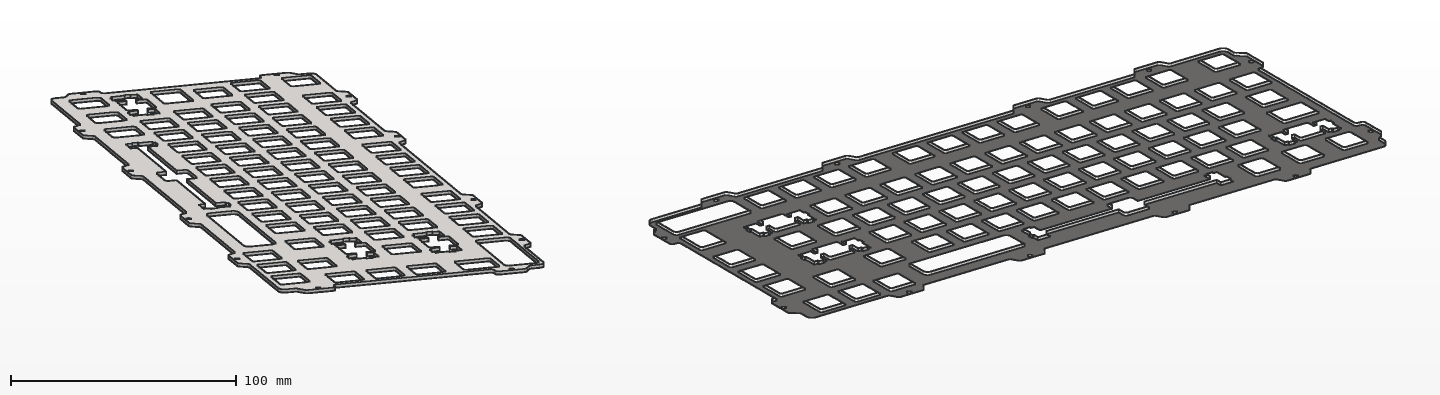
import cadquery as cq


OVERALL_LENGTH = 323.5
OVERALL_WIDTH = 133.0
THICKNESS = 1.6
BODY_LENGTH = 315.0
BODY_WIDTH = 124.2
BODY_CORNER_RADIUS = 3.0

COLUMN_SPAN = 295.2
COLUMN_SPAN_KEYS = 15.5
PITCH = COLUMN_SPAN / COLUMN_SPAN_KEYS
FIRST_COLUMN_X = -COLUMN_SPAN / 2

NUMBER_ROW = 1.25
TAB_ROW = 2.25
HOME_ROW = 3.25
SHIFT_ROW = 4.25
UP_ARROW_ROW = 4.5
SPACE_ROW = 5.25
ARROW_ROW = 5.5
FUNCTION_ROW_Y = ARROW_ROW * PITCH / 2

KEY_SIZE = 14.0
SPACE_KEY_HEIGHT = 15.0
TALL_KEY_HEIGHT = 16.8
TALL_KEY_ROW = 1.0
CAPS_LOCK_WIDTH = 19.5
CAPS_LOCK_COLUMN = 0.375
KEY_CORNER_RADIUS = 1.0
SPACE_KEY_CORNER_RADIUS = 1.5
SPACE_ROW_COLUMNS = (0.125, 1.375, 2.625)
SPACE_BAR_COLUMN = 6.375
LAST_COLUMN = COLUMN_SPAN_KEYS

DISPLAY_LENGTH = 42.0
DISPLAY_X = 133.5
DISPLAY_WALL = 1.68
DISPLAY_BACK_Y = BODY_WIDTH / 2 - DISPLAY_WALL
DISPLAY_FRONT_Y = 44.3
DISPLAY_WIDTH = DISPLAY_BACK_Y - DISPLAY_FRONT_Y
DISPLAY_Y = (DISPLAY_BACK_Y + DISPLAY_FRONT_Y) / 2
MODIFIER_LENGTH = 55.0
MODIFIER_X = 61.8
DISPLAY_CORNER_RADIUS = 2.0
MODIFIER_CORNER_RADIUS = 2.5

STABILIZER_OFFSET = 12.0
SPACE_STABILIZER_OFFSET = 49.8
STABILIZER_WIDTH = 6.8
STABILIZER_TOP = 5.5
STABILIZER_BOTTOM = -6.8
FOOT_NOTCH_WIDTH = 3.2
FOOT_NOTCH_DEPTH = 1.0
SIDE_NOTCH_HEIGHT = 3.0
SIDE_NOTCH_DEPTH = 0.8
SIDE_NOTCH_Y = 1.0
CHANNEL_HEIGHT = 5.0

TAB_CORNER_RADIUS = 1.5
TAB_FOOT = 4.2
SCREW_DIAMETER = 2.2
EDGE_TAB_ROOT = 18.8
EDGE_TAB_TIP = 13.5
EDGE_SCREW_INSET = 2.0
TAB_SPACING = 66.0
BACK_TAB_INNER_X = 52.0
BACK_TAB_DISTANCES = (BACK_TAB_INNER_X, BACK_TAB_INNER_X + TAB_SPACING)
FRONT_TAB_INNER_X = 39.5
FRONT_TAB_DISTANCES = (FRONT_TAB_INNER_X, FRONT_TAB_INNER_X + TAB_SPACING)
SIDE_TAB_INNER_Y = 37.5
SIDE_TAB_OUTER_Y = 54.5
SIDE_TAB_SLOPE = 3.2
SIDE_SCREW_INSET = 1.5
SIDE_SCREW_Y = 45.3


def grid_point(column, row):
    """Centre of a key, from its column and row in key pitches."""
    return FIRST_COLUMN_X + column * PITCH, FUNCTION_ROW_Y - row * PITCH


def run_of_keys(first_column, count, row):
    """Grid places of neighbouring keys, one pitch apart."""
    return [(first_column + i, row) for i in range(count)]


def opening(center, length, width, corner_radius=0):
    """Cutter for a rectangular opening right through the plate."""
    cutter = cq.Workplane("XY").rect(length, width).extrude(THICKNESS)
    if corner_radius:
        cutter = cutter.edges("|Z").fillet(corner_radius)
    return cutter.translate(center)


def key_opening(column, row, height=KEY_SIZE, corner_radius=KEY_CORNER_RADIUS):
    return opening(grid_point(column, row), KEY_SIZE, height, corner_radius)


def space_row_key(column):
    return key_opening(column, SPACE_ROW, SPACE_KEY_HEIGHT, SPACE_KEY_CORNER_RADIUS)


def stabilizer_slot(outward):
    """Slot for one stabilizer housing; outward is the X sign of its side notch."""
    height = STABILIZER_TOP - STABILIZER_BOTTOM
    slot = opening((0, STABILIZER_BOTTOM + height / 2), STABILIZER_WIDTH, height)
    foot = opening((0, STABILIZER_BOTTOM), FOOT_NOTCH_WIDTH, 2 * FOOT_NOTCH_DEPTH)
    side_x = outward * STABILIZER_WIDTH / 2
    side = opening((side_x, SIDE_NOTCH_Y), 2 * SIDE_NOTCH_DEPTH, SIDE_NOTCH_HEIGHT)
    return slot.union(foot).union(side)


def stabilizer_opening(column, row, offset, flipped=False):
    """Two stabilizer slots either side of a key, joined by a channel."""
    cutter = opening((0, 0), 2 * offset, CHANNEL_HEIGHT)
    for side in (-1, 1):
        cutter = cutter.union(stabilizer_slot(side).translate((side * offset, 0)))
    if flipped:
        cutter = cutter.mirror("XZ")
    return cutter.translate(grid_point(column, row))


def mounting_tab(outline, axis):
    """Tab pointing along an axis, its foot buried in the body; all but the inner corners are rounded."""
    tab = cq.Workplane("XY").polyline(outline).close().extrude(THICKNESS)
    return tab.edges("|Z").edges(f"not <{axis}").fillet(TAB_CORNER_RADIUS)


def screw_hole(x, y):
    return cq.Workplane("XY").center(x, y).circle(SCREW_DIAMETER / 2).extrude(THICKNESS)


def edge_tab():
    """Tapered tab and screw hole on the +Y edge, centred on X = 0."""
    root_y = BODY_WIDTH / 2
    tip_y = OVERALL_WIDTH / 2
    foot_x = EDGE_TAB_ROOT / 2 + TAB_FOOT
    outline = [
        (-foot_x, root_y - TAB_FOOT),
        (-foot_x, root_y),
        (-EDGE_TAB_ROOT / 2, root_y),
        (-EDGE_TAB_TIP / 2, tip_y),
        (EDGE_TAB_TIP / 2, tip_y),
        (EDGE_TAB_ROOT / 2, root_y),
        (foot_x, root_y),
        (foot_x, root_y - TAB_FOOT),
    ]
    return mounting_tab(outline, "Y"), screw_hole(0, tip_y - EDGE_SCREW_INSET)


def side_tab():
    """Tab and screw hole on the +X edge in the +Y half; the outer end slopes."""
    root_x = BODY_LENGTH / 2
    tip_x = OVERALL_LENGTH / 2
    outline = [
        (root_x - TAB_FOOT, SIDE_TAB_INNER_Y - TAB_FOOT),
        (root_x, SIDE_TAB_INNER_Y - TAB_FOOT),
        (root_x, SIDE_TAB_INNER_Y),
        (tip_x, SIDE_TAB_INNER_Y),
        (tip_x, SIDE_TAB_OUTER_Y - SIDE_TAB_SLOPE),
        (root_x, SIDE_TAB_OUTER_Y),
        (root_x, SIDE_TAB_OUTER_Y + TAB_FOOT),
        (root_x - TAB_FOOT, SIDE_TAB_OUTER_Y + TAB_FOOT),
    ]
    return mounting_tab(outline, "X"), screw_hole(tip_x - SIDE_SCREW_INSET, SIDE_SCREW_Y)


plate = (
    cq.Workplane("XY")
    .rect(BODY_LENGTH, BODY_WIDTH)
    .extrude(THICKNESS)
    .edges("|Z")
    .fillet(BODY_CORNER_RADIUS)
)
cutters = []

tab, screw = edge_tab()
for side in (-1, 1):
    for distance in BACK_TAB_DISTANCES:
        plate = plate.union(tab.translate((side * distance, 0)))
        cutters.append(screw.translate((side * distance, 0)))
    for distance in FRONT_TAB_DISTANCES:
        plate = plate.union(tab.mirror("XZ").translate((side * distance, 0)))
        cutters.append(screw.mirror("XZ").translate((side * distance, 0)))

right_tab, right_screw = side_tab()
left_tab, left_screw = right_tab.mirror("YZ"), right_screw.mirror("YZ")
for body in (right_tab, left_tab):
    plate = plate.union(body).union(body.mirror("XZ"))
for body in (right_screw, left_screw):
    cutters += [body, body.mirror("XZ")]

key_places = (
    [(0, 0)]
    + run_of_keys(1.5, 4, 0)
    + run_of_keys(5.75, 4, 0)
    + run_of_keys(10, 4, 0)
    + run_of_keys(0, 13, NUMBER_ROW)
    + [(0.25, TAB_ROW)]
    + run_of_keys(1.5, 12, TAB_ROW)
    + [(13.75, TAB_ROW)]
    + run_of_keys(1.75, 11, HOME_ROW)
    + run_of_keys(2.25, 10, SHIFT_ROW)
    + [(12.625, SHIFT_ROW)]
    + [(LAST_COLUMN, row) for row in (TAB_ROW, HOME_ROW, SHIFT_ROW)]
    + [(14.25, UP_ARROW_ROW)]
    + run_of_keys(13.25, 3, ARROW_ROW)
)
cutters += [key_opening(column, row) for column, row in key_places]

cutters += [space_row_key(column) for column in SPACE_ROW_COLUMNS]
cutters.append(key_opening(LAST_COLUMN, TALL_KEY_ROW, TALL_KEY_HEIGHT))

caps_x, caps_y = grid_point(CAPS_LOCK_COLUMN, HOME_ROW)
caps_x -= (CAPS_LOCK_WIDTH - KEY_SIZE) / 2
cutters.append(opening((caps_x, caps_y), CAPS_LOCK_WIDTH, KEY_SIZE, KEY_CORNER_RADIUS))

cutters.append(
    opening((DISPLAY_X, DISPLAY_Y), DISPLAY_LENGTH, DISPLAY_WIDTH, DISPLAY_CORNER_RADIUS)
)
modifier_y = grid_point(0, SPACE_ROW)[1]
cutters.append(
    opening((MODIFIER_X, modifier_y), MODIFIER_LENGTH, SPACE_KEY_HEIGHT, MODIFIER_CORNER_RADIUS)
)

stabilized_places = ((13.5, NUMBER_ROW), (13.375, HOME_ROW), (0.625, SHIFT_ROW))
for column, row in stabilized_places:
    slots = stabilizer_opening(column, row, STABILIZER_OFFSET)
    cutters.append(slots.union(key_opening(column, row)))
space_slots = stabilizer_opening(SPACE_BAR_COLUMN, SPACE_ROW, SPACE_STABILIZER_OFFSET, flipped=True)
cutters.append(space_slots.union(space_row_key(SPACE_BAR_COLUMN)))

all_openings = cq.Compound.makeCompound([cutter.val() for cutter in cutters])
result = plate.cut(cq.Workplane(obj=all_openings))